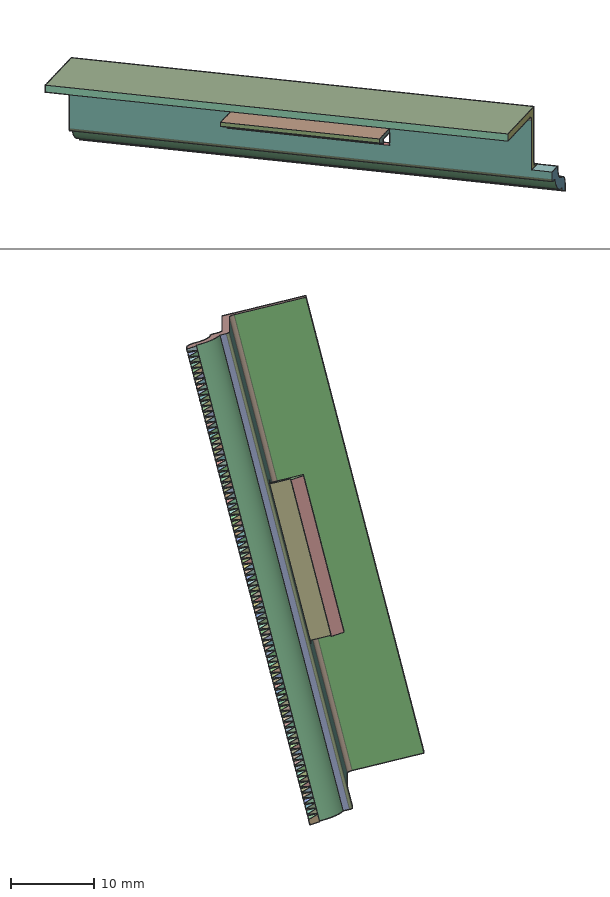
import cadquery as cq
import math

length = 61.0
wall_thickness = 0.9
flange_length = 10.45
inside_corner_radius = 0.6
wall_bottom_radius = 0.35
wall_depth = 9.15

shoulder_depth = 7.7
shoulder_root_radius = 0.6
shoulder_edge_radius = 0.35

lip_reach = 4.4
lip_thickness = 1.4
nose_radius = 1.2
hollow_radius = 1.7
hollow_center_y = lip_reach - nose_radius
hollow_center_z = -8.1
shoulder_reach = hollow_center_y - hollow_radius
belly_radius = hollow_radius + lip_thickness
belly_bottom_z = hollow_center_z - belly_radius
nose_center_z = hollow_center_z - hollow_radius - nose_radius

strip_height = 12.0
foot_heel_height = 0.35
foot_heel_z = belly_bottom_z - foot_heel_height
notch_count = 86
first_notch_x = 0.6
last_notch_x = 59.95
tooth_pitch = (last_notch_x - first_notch_x) / (notch_count - 1)
tooth_angle = 70
tooth_depth = tooth_pitch / 2 / math.tan(math.radians(tooth_angle / 2))

end_cut_length = 2.55
end_cut_depth = 7.8

slot_start = 19.95
slot_end = 40.5
slot_bottom_depth = 6.6
latch_start = 20.45
latch_top_depth = 4.4
latch_thickness = 0.55
latch_length = 4.1
hook_length = 1.6
hook_drop = 0.55


def arc_point(center_y, center_z, radius, degrees):
    angle = math.radians(degrees)
    return (center_y + radius * math.cos(angle), center_z + radius * math.sin(angle))


def extrude_along_x(outline, start, end):
    return outline.extrude(end - start).translate((start, 0, 0))


def make_strip():
    """Flange, wall, shoulder, lip and foot as one constant section."""
    belly_rise = hollow_center_z + wall_depth
    belly_start_y = hollow_center_y - math.sqrt(belly_radius**2 - belly_rise**2)
    belly_start_angle = 180 + math.degrees(math.asin(belly_rise / belly_radius))
    belly_middle_angle = (belly_start_angle + 270) / 2
    edge_y = shoulder_reach - shoulder_edge_radius
    edge_z = -shoulder_depth - shoulder_edge_radius
    root_z = -shoulder_depth + shoulder_root_radius

    section = (
        cq.Workplane("YZ")
        .moveTo(0, 0)
        .lineTo(-flange_length, 0)
        .lineTo(-flange_length, -wall_thickness)
        .lineTo(-wall_thickness - inside_corner_radius, -wall_thickness)
        .radiusArc((-wall_thickness, -wall_thickness - inside_corner_radius), inside_corner_radius)
        .lineTo(-wall_thickness, -wall_depth + wall_bottom_radius)
        .radiusArc((-wall_thickness + wall_bottom_radius, -wall_depth), -wall_bottom_radius)
        .lineTo(belly_start_y, -wall_depth)
        .threePointArc(
            arc_point(hollow_center_y, hollow_center_z, belly_radius, belly_middle_angle),
            (hollow_center_y, belly_bottom_z),
        )
        .lineTo(hollow_center_y, foot_heel_z)
        .lineTo(lip_reach, -strip_height)
        .lineTo(lip_reach, nose_center_z)
        .threePointArc(
            arc_point(hollow_center_y, nose_center_z, nose_radius, 45),
            (hollow_center_y, nose_center_z + nose_radius),
        )
        .threePointArc(
            arc_point(hollow_center_y, hollow_center_z, hollow_radius, 225),
            (shoulder_reach, hollow_center_z),
        )
        .lineTo(shoulder_reach, edge_z)
        .threePointArc(
            arc_point(edge_y, edge_z, shoulder_edge_radius, 45),
            (edge_y, -shoulder_depth),
        )
        .lineTo(shoulder_root_radius, -shoulder_depth)
        .threePointArc(
            arc_point(shoulder_root_radius, root_z, shoulder_root_radius, 225),
            (0, root_z),
        )
        .close()
    )
    return extrude_along_x(section, 0, length)


def make_end_cut():
    return cq.Workplane("XY").box(
        end_cut_length,
        flange_length + shoulder_reach,
        end_cut_depth,
        centered=False,
    ).translate((length - end_cut_length, -flange_length, -end_cut_depth))


def make_slot():
    slot_top_depth = latch_top_depth + latch_thickness
    return cq.Workplane("XY").box(
        slot_end - slot_start,
        wall_thickness,
        slot_bottom_depth - slot_top_depth,
        centered=False,
    ).translate((slot_start, -wall_thickness, -slot_bottom_depth))


def make_latch():
    """Thin tongue on the front of the wall with a ramped hook at its tip."""
    tip_y = -wall_thickness - latch_length
    top_z = -latch_top_depth
    underside_z = top_z - latch_thickness
    section = cq.Workplane("YZ").polyline([
        (-wall_thickness, top_z),
        (tip_y, top_z),
        (tip_y, underside_z),
        (tip_y + hook_length, underside_z - hook_drop),
        (tip_y + hook_length, underside_z),
        (-wall_thickness, underside_z),
    ]).close()
    return extrude_along_x(section, latch_start, slot_end)


def make_tooth_notches():
    """Level V-notches along Y, deepest at the nose and fading out towards the heel of the foot."""
    notches = []
    for index in range(notch_count):
        root_x = first_notch_x + index * tooth_pitch
        triangle = cq.Wire.makePolygon([
            cq.Vector(root_x - tooth_pitch / 2, hollow_center_y, -strip_height),
            cq.Vector(root_x + tooth_pitch / 2, hollow_center_y, -strip_height),
            cq.Vector(root_x, hollow_center_y, -strip_height + tooth_depth),
        ], close=True)
        notches.append(cq.Solid.extrudeLinear(triangle, [], cq.Vector(0, nose_radius, 0)))
    return cq.Workplane(cq.Compound.makeCompound(notches))


result = (
    make_strip()
    .cut(make_end_cut())
    .cut(make_slot())
    .union(make_latch())
    .cut(make_tooth_notches())
)